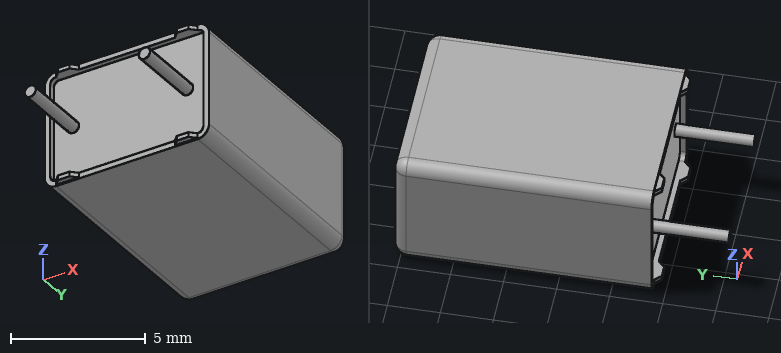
import cadquery as cq

case_width = 7.2
case_length = 9.75
case_height = 5.0
case_radius = 0.5

rim_width = 0.25
recess_depth = 0.25
recess_radius = case_radius - rim_width

foot_base_width = 1.0
foot_tip_width = 0.5
foot_height = 0.25
foot_thickness = 0.2
foot_x = case_width / 2 - case_radius - foot_base_width / 2
foot_inner_z = case_height / 2 - rim_width

pin_pitch = 5.0
pin_diameter = 0.5
pin_reach = 2.75


def make_case_block():
    """Case block with its front rim at Y = 0, rounded everywhere but at the front."""
    block = cq.Workplane("XY").box(case_width, case_length, case_height, centered=(True, False, True))
    return block.edges("|Y or >Y").fillet(case_radius)


def make_recess():
    """Rounded rectangular volume removed from the front face."""
    recess = cq.Workplane("XY").box(
        case_width - 2 * rim_width,
        recess_depth,
        case_height - 2 * rim_width,
        centered=(True, False, True),
    )
    return recess.edges("|Y").fillet(recess_radius)


def make_foot(center_x, bottom_z):
    """Tapered foot that stands on the front rim and points toward -Y."""
    return (
        cq.Workplane("XY", origin=(center_x, 0, bottom_z))
        .moveTo(-foot_base_width / 2, 0)
        .lineTo(-foot_tip_width / 2, -foot_height)
        .lineTo(foot_tip_width / 2, -foot_height)
        .lineTo(foot_base_width / 2, 0)
        .close()
        .extrude(foot_thickness)
    )


def make_case():
    """Recessed case with its four feet, as one solid."""
    body = make_case_block().cut(make_recess())
    for center_x in (-foot_x, foot_x):
        for bottom_z in (foot_inner_z, -foot_inner_z - foot_thickness):
            body = body.union(make_foot(center_x, bottom_z))
    return body


def make_pin(center_x):
    """Lead pin from the recess floor out past the front rim."""
    floor = cq.Workplane("XZ", origin=(center_x, recess_depth, 0))
    return floor.circle(pin_diameter / 2).extrude(recess_depth + pin_reach)


case = make_case()
pins = [make_pin(center_x) for center_x in (-pin_pitch / 2, pin_pitch / 2)]

result = cq.Compound.makeCompound([case.val(), *[pin.val() for pin in pins]])